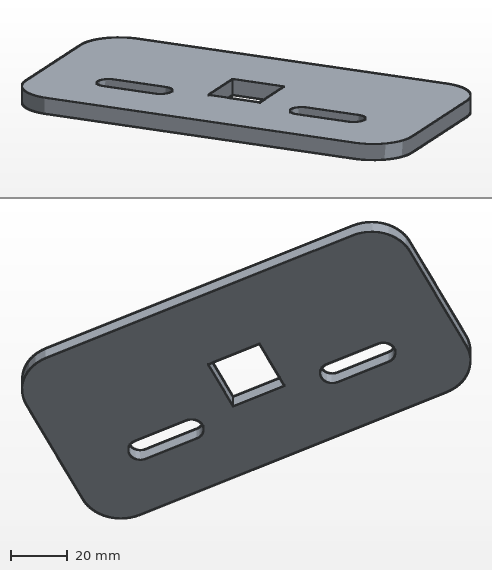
import cadquery as cq

plate_length = 150.0
plate_width = 75.0
plate_thickness = 6.0
corner_radius = 15.0

window_side = 20.0

slot_width = 8.5
slot_end_spacing = 20.0
slot_length = slot_end_spacing + slot_width
slot_centre_x = plate_length / 4
slot_centre_y = -12.5


def make_plate():
    """Flat plate with rounded vertical corners, resting on Z = 0."""
    outline = cq.Workplane("XY").rect(plate_length, plate_width)
    return outline.extrude(plate_thickness).edges("|Z").fillet(corner_radius)


def make_window():
    """Square cutter through the full plate thickness."""
    return cq.Workplane("XY").rect(window_side, window_side).extrude(plate_thickness)


def make_slots():
    """Two round-ended cutters running along X, mirrored about the YZ plane."""
    slot_centres = [(side * slot_centre_x, slot_centre_y) for side in (-1, 1)]
    return (
        cq.Workplane("XY")
        .pushPoints(slot_centres)
        .slot2D(slot_length, slot_width)
        .extrude(plate_thickness)
    )


result = make_plate().cut(make_window()).cut(make_slots())